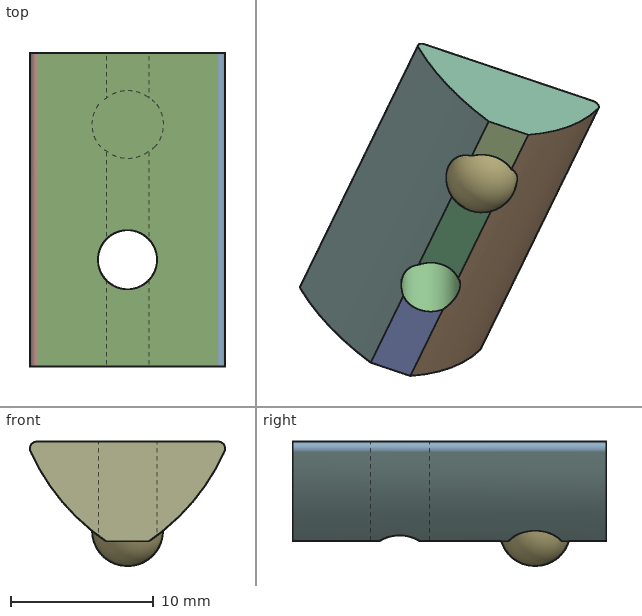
import cadquery as cq
import math

body_width = 13.7
body_length = 22.0
body_height = 7.0
bottom_flat_width = 3.0
flank_radius = 15.0
top_edge_radius = 0.5

hole_diameter = 4.13
hole_from_front_end = 7.5

ball_diameter = 5.0
ball_protrusion = 1.75
ball_from_back_end = 5.0

front_end_y = -body_length / 2
back_end_y = body_length / 2


def point_on_arc(center, radius, angle):
    """Point at the given angle (radians from +X) on an arc in the XZ plane."""
    return (center[0] + radius * math.cos(angle), center[1] + radius * math.sin(angle))


def angle_to(center, point):
    return math.atan2(point[1] - center[1], point[0] - center[0])


def flank_center(edge_center, bottom_corner):
    """Center of the flank arc that passes through the bottom corner and is
    internally tangent to the rounded top edge, on the far side of the body."""
    edge_distance = flank_radius - top_edge_radius
    chord_x = bottom_corner[0] - edge_center[0]
    chord_z = bottom_corner[1] - edge_center[1]
    chord = math.hypot(chord_x, chord_z)
    along = (edge_distance**2 - flank_radius**2 + chord**2) / (2 * chord)
    across = math.sqrt(edge_distance**2 - along**2)
    return (
        edge_center[0] + (along * chord_x + across * chord_z) / chord,
        edge_center[1] + (along * chord_z - across * chord_x) / chord,
    )


def mirrored(point):
    return (-point[0], point[1])


def make_body():
    edge_center = (body_width / 2 - top_edge_radius, -top_edge_radius)
    bottom_corner = (bottom_flat_width / 2, -body_height)
    center = flank_center(edge_center, bottom_corner)

    tangent_angle = angle_to(center, edge_center)
    bottom_angle = angle_to(center, bottom_corner)
    top_angle = math.pi / 2

    top_corner = (edge_center[0], 0)
    edge_middle = point_on_arc(edge_center, top_edge_radius, (top_angle + tangent_angle) / 2)
    tangent_point = point_on_arc(edge_center, top_edge_radius, tangent_angle)
    flank_middle = point_on_arc(center, flank_radius, (tangent_angle + bottom_angle) / 2)

    return (
        cq.Workplane("XZ", origin=(0, back_end_y, 0))
        .moveTo(*mirrored(top_corner))
        .lineTo(*top_corner)
        .threePointArc(edge_middle, tangent_point)
        .threePointArc(flank_middle, bottom_corner)
        .lineTo(*mirrored(bottom_corner))
        .threePointArc(mirrored(flank_middle), mirrored(tangent_point))
        .threePointArc(mirrored(edge_middle), mirrored(top_corner))
        .close()
        .extrude(body_length)
    )


def make_hole():
    return (
        cq.Workplane("XY", origin=(0, front_end_y + hole_from_front_end, 0))
        .circle(hole_diameter / 2)
        .extrude(-body_height)
    )


def make_ball():
    ball_radius = ball_diameter / 2
    ball_z = ball_radius - body_height - ball_protrusion
    return (
        cq.Workplane("XY")
        .sphere(ball_radius)
        .translate((0, back_end_y - ball_from_back_end, ball_z))
    )


result = make_body().union(make_ball()).cut(make_hole())